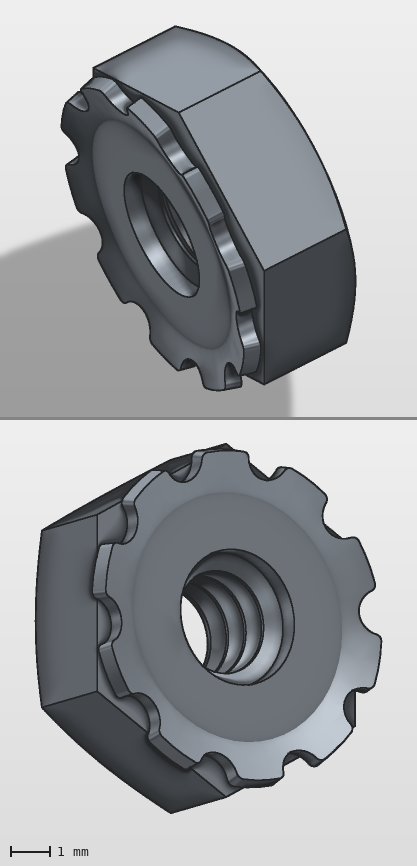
import cadquery as cq
import math

ACROSS_FLATS = 7.9375
NUT_HEIGHT = 2.78
CHAMFER_ANGLE = math.radians(25)

OVERALL_LENGTH = 3.57
NECK_DIAMETER = 4.54
NECK_LENGTH = 0.08
DISH_ANGLE = math.radians(15)
WASHER_THICKNESS = 0.455
WASHER_FLAT_RADIUS = 3.22
WASHER_TIP_RADIUS = 4.365

NOTCH_COUNT = 10
NOTCH_RADIUS = 0.6
NOTCH_FLOOR_RADIUS = 3.69
FIRST_NOTCH_ANGLE = 7.6
TOOTH_CORNER_RADIUS = 0.18

THREAD_MINOR_RADIUS = 2.65 / 2
THREAD_MAJOR_RADIUS = 3.5 / 2
THREADS_PER_INCH = 32
THREAD_PITCH = 25.4 / THREADS_PER_INCH
THREAD_CREST_WIDTH = THREAD_PITCH / 8
THREAD_ROOT_WIDTH = THREAD_PITCH / 4

DISH_SLOPE = math.tan(DISH_ANGLE)
TIP_FRONT_RADIUS = WASHER_TIP_RADIUS - WASHER_THICKNESS * math.sin(DISH_ANGLE)
TIP_FRONT_Y = NUT_HEIGHT - OVERALL_LENGTH
TIP_BACK_Y = TIP_FRONT_Y + WASHER_THICKNESS * math.cos(DISH_ANGLE)
WASHER_FACE_Y = TIP_FRONT_Y + (TIP_FRONT_RADIUS - WASHER_FLAT_RADIUS) * DISH_SLOPE
WASHER_BACK_Y = -NECK_LENGTH
WASHER_BACK_FLAT_RADIUS = WASHER_TIP_RADIUS - (WASHER_BACK_Y - TIP_BACK_Y) / DISH_SLOPE


def revolve_about_y(points):
    """Solid of revolution about Y from (radius, y) points."""
    return cq.Workplane("XY").polyline(points).close().revolve(360, (0, 0, 0), (0, 1, 0))


def plane_facing_y(start_y):
    """Workplane at start_y that extrudes toward +Y; its local x is Z and its local y is X."""
    return cq.Workplane(cq.Plane((0, start_y, 0), xDir=(0, 0, 1), normal=(0, 1, 0)))


def make_nut():
    """Hexagonal prism with corners on +Z and -Z and its far end chamfered by a cone."""
    flat_radius = ACROSS_FLATS / 2
    corner_radius = flat_radius / math.cos(math.pi / 6)
    envelope_radius = corner_radius + 1
    chamfer_drop = (envelope_radius - flat_radius) * math.tan(CHAMFER_ANGLE)
    hexagon = plane_facing_y(0).polygon(6, 2 * corner_radius).extrude(NUT_HEIGHT)
    envelope = revolve_about_y([
        (0, 0),
        (envelope_radius, 0),
        (envelope_radius, NUT_HEIGHT - chamfer_drop),
        (flat_radius, NUT_HEIGHT),
        (0, NUT_HEIGHT),
    ])
    return hexagon.intersect(envelope)


def make_neck():
    return plane_facing_y(WASHER_BACK_Y).circle(NECK_DIAMETER / 2).extrude(NECK_LENGTH)


def make_dished_disc():
    return revolve_about_y([
        (0, WASHER_FACE_Y),
        (WASHER_FLAT_RADIUS, WASHER_FACE_Y),
        (TIP_FRONT_RADIUS, TIP_FRONT_Y),
        (WASHER_TIP_RADIUS, TIP_BACK_Y),
        (WASHER_BACK_FLAT_RADIUS, WASHER_BACK_Y),
        (0, WASHER_BACK_Y),
    ])


def make_notch_cutters():
    start_angle = 90 - FIRST_NOTCH_ANGLE
    return (
        plane_facing_y(TIP_FRONT_Y)
        .polarArray(NOTCH_FLOOR_RADIUS + NOTCH_RADIUS, start_angle, 360, NOTCH_COUNT)
        .circle(NOTCH_RADIUS)
        .extrude(WASHER_BACK_Y - TIP_FRONT_Y)
    )


def is_tooth_corner(edge):
    """True for edges that run across the whole thickness of the outer rim."""
    centre = edge.Center()
    rim_width = TIP_BACK_Y - TIP_FRONT_Y
    on_rim = math.hypot(centre.x, centre.z) > TIP_FRONT_RADIUS
    return on_rim and edge.BoundingBox().ylen > rim_width / 2


def make_washer():
    toothed = make_dished_disc().cut(make_notch_cutters())
    corners = [edge for edge in toothed.edges().vals() if is_tooth_corner(edge)]
    return toothed.newObject(corners).fillet(TOOTH_CORNER_RADIUS)


def make_bore():
    """Plain hole through the washer, then thread rings through the nut."""
    flank = (THREAD_PITCH - THREAD_CREST_WIDTH - THREAD_ROOT_WIDTH) / 2
    points = [(0, WASHER_FACE_Y), (THREAD_MAJOR_RADIUS, WASHER_FACE_Y), (THREAD_MAJOR_RADIUS, 0)]
    ring_count = math.floor(NUT_HEIGHT / THREAD_PITCH)
    for ring in range(ring_count):
        crest_start = ring * THREAD_PITCH + flank
        crest_end = crest_start + THREAD_CREST_WIDTH
        root_start = crest_end + flank
        points += [
            (THREAD_MINOR_RADIUS, crest_start),
            (THREAD_MINOR_RADIUS, crest_end),
            (THREAD_MAJOR_RADIUS, root_start),
            (THREAD_MAJOR_RADIUS, root_start + THREAD_ROOT_WIDTH),
        ]
    points += [
        (THREAD_MINOR_RADIUS, ring_count * THREAD_PITCH + flank),
        (THREAD_MINOR_RADIUS, NUT_HEIGHT),
        (0, NUT_HEIGHT),
    ]
    return revolve_about_y(points)


result = make_nut().union(make_neck()).union(make_washer()).cut(make_bore())